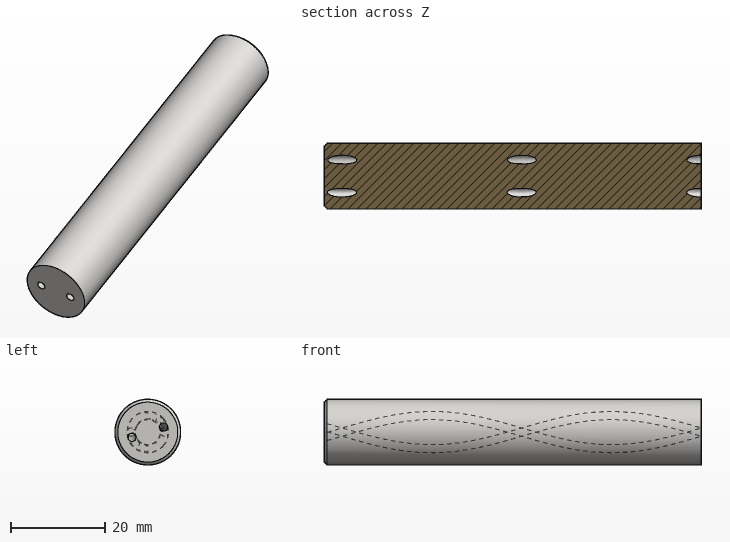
import cadquery as cq
import math

rod_length = 80.0
rod_diameter = 14.0
chamfer_size = 0.6

channel_diameter = 1.8
channel_spacing = 7.0
helix_angle = 30.0

helix_pitch = math.pi * rod_diameter / math.tan(math.radians(helix_angle))
total_twist = 360.0 * rod_length / helix_pitch


def make_rod():
    rod = cq.Workplane("YZ").circle(rod_diameter / 2).extrude(rod_length)
    return rod.faces("<X").chamfer(chamfer_size)


def make_channels():
    return (
        cq.Workplane("YZ")
        .polarArray(channel_spacing / 2, -total_twist, 360, 2)
        .circle(channel_diameter / 2)
        .twistExtrude(rod_length, total_twist)
    )


result = make_rod().cut(make_channels())